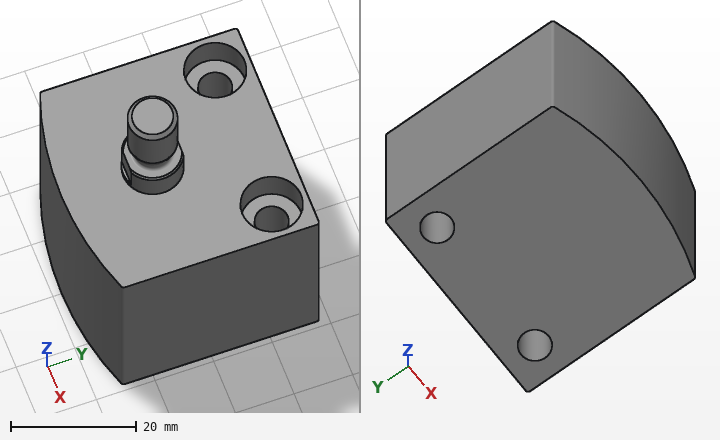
import cadquery as cq
import math

WIDTH = 38.0
HOUSING_HEIGHT = 32.5
DEPTH = 37.05
BACK_Y = 21.5
FRONT_Y = BACK_Y - DEPTH
FRONT_RADIUS = 54.95
CORNER_RADIUS = 0.5

HOLE_DIAMETER = 5.5
COUNTERBORE_DIAMETER = 10.0
COUNTERBORE_DEPTH = 5.8
HOLE_SPACING = 26.0
HOLE_BACK_DISTANCE = 6.0

TOP_Z = 49.5
COLLAR_DIAMETER = 10.0
COLLAR_HEIGHT = 5.0
COLLAR_CHAMFER = 0.3
NECK_DIAMETER = 6.2
NECK_HEIGHT = 1.2
NECK_FILLET = 0.5
END_DIAMETER = 8.0
END_LENGTH = 8.35
END_CHAMFER = 0.7
FLATS_WIDTH = 8.9
FLATS_BOTTOM = 0.8


def make_housing():
    half_width = WIDTH / 2
    bow = FRONT_RADIUS - math.sqrt(FRONT_RADIUS**2 - half_width**2)
    side_end_y = FRONT_Y + bow
    block = (
        cq.Workplane("XY")
        .moveTo(-half_width, BACK_Y)
        .lineTo(-half_width, side_end_y)
        .threePointArc((0, FRONT_Y), (half_width, side_end_y))
        .lineTo(half_width, BACK_Y)
        .close()
        .extrude(HOUSING_HEIGHT)
        .edges("|Z")
        .fillet(CORNER_RADIUS)
    )
    hole_y = BACK_Y - HOLE_BACK_DISTANCE
    hole_centers = [(side * HOLE_SPACING / 2, hole_y) for side in (-1, 1)]
    return (
        block.faces(">Z")
        .workplane(origin=(0, 0, HOUSING_HEIGHT))
        .pushPoints(hole_centers)
        .cboreHole(HOLE_DIAMETER, COUNTERBORE_DIAMETER, COUNTERBORE_DEPTH)
    )


def make_turned_rod():
    collar_radius = COLLAR_DIAMETER / 2
    neck_radius = NECK_DIAMETER / 2
    end_radius = END_DIAMETER / 2
    collar_top = HOUSING_HEIGHT + COLLAR_HEIGHT
    neck_top = collar_top + NECK_HEIGHT
    end_bottom = TOP_Z - END_LENGTH
    rod = (
        cq.Workplane("XZ")
        .moveTo(0, HOUSING_HEIGHT)
        .lineTo(collar_radius, HOUSING_HEIGHT)
        .lineTo(collar_radius, collar_top - COLLAR_CHAMFER)
        .lineTo(collar_radius - COLLAR_CHAMFER, collar_top)
        .lineTo(neck_radius, collar_top)
        .lineTo(neck_radius, neck_top)
        .lineTo(end_radius, end_bottom)
        .lineTo(end_radius, TOP_Z - END_CHAMFER)
        .lineTo(end_radius - END_CHAMFER, TOP_Z)
        .lineTo(0, TOP_Z)
        .close()
        .revolve(360, (0, 0), (0, 1))
    )
    smallest_circles = cq.selectors.RadiusNthSelector(0)
    return rod.edges("%CIRCLE").edges(smallest_circles).fillet(NECK_FILLET)


def cut_wrench_flats(rod):
    flats_z = HOUSING_HEIGHT + FLATS_BOTTOM
    flats_height = COLLAR_HEIGHT - FLATS_BOTTOM
    slab_depth = COLLAR_DIAMETER - FLATS_WIDTH
    slab_offset = (FLATS_WIDTH + slab_depth) / 2
    for side in (-1, 1):
        slab = (
            cq.Workplane("XY", origin=(0, side * slab_offset, flats_z))
            .box(COLLAR_DIAMETER, slab_depth, flats_height, centered=(True, True, False))
        )
        rod = rod.cut(slab)
    return rod


housing = make_housing()
rod = cut_wrench_flats(make_turned_rod())

result = cq.Compound.makeCompound([housing.val(), rod.val()])